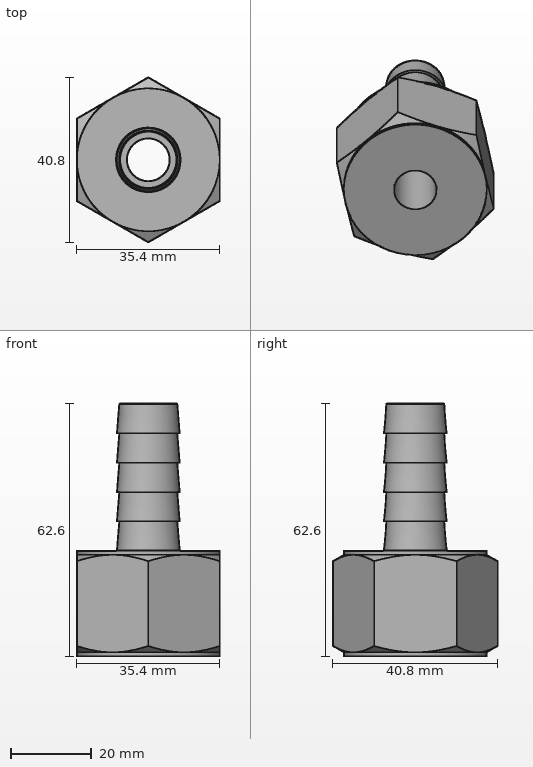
import cadquery as cq
import math

total_height = 62.6
across_flats = 35.35
nut_height = 26.1
bore_diameter = 10.5

collar_height = 1.0
corner_chamfer_height = 1.55

barb_count = 5
barb_pitch = 7.25
barb_root_diameter = 14.4
barb_crest_diameter = 15.6
base_flare_diameter = 16.0
base_flare_height = 0.2
tip_chamfer = 0.25

across_corners = across_flats / math.cos(math.radians(30))
flat_radius = across_flats / 2
corner_radius = across_corners / 2
root_radius = barb_root_diameter / 2
crest_radius = barb_crest_diameter / 2
base_flare_radius = base_flare_diameter / 2


def make_nut():
    """Hexagon with corners on the Y axis, trimmed by a turned envelope."""
    hexagon = (
        cq.Workplane("XY")
        .polygon(6, across_corners)
        .extrude(nut_height)
        .rotate((0, 0, 0), (0, 0, 1), 90)
    )
    chamfer_end = collar_height + corner_chamfer_height
    envelope = (
        cq.Workplane("XZ")
        .polyline([
            (0, 0),
            (flat_radius, 0),
            (flat_radius, collar_height),
            (corner_radius, chamfer_end),
            (corner_radius, nut_height - chamfer_end),
            (flat_radius, nut_height - collar_height),
            (flat_radius, nut_height),
            (0, nut_height),
        ])
        .close()
        .revolve(360, (0, 0, 0), (0, 1, 0))
    )
    return hexagon.intersect(envelope)


def make_hose_tail():
    """Stack of upward-tapering barbs on a small base flare, chamfered at the tip."""
    outline = [
        (0, nut_height),
        (base_flare_radius, nut_height),
        (crest_radius, nut_height + base_flare_height),
    ]
    for index in range(1, barb_count):
        barb_bottom = nut_height + index * barb_pitch
        outline.append((root_radius, barb_bottom))
        outline.append((crest_radius, barb_bottom))
    outline.append((root_radius, total_height))
    outline.append((0, total_height))
    tail = cq.Workplane("XZ").polyline(outline).close().revolve(360, (0, 0, 0), (0, 1, 0))
    return tail.faces(">Z").edges().chamfer(tip_chamfer)


bore = cq.Workplane("XY").circle(bore_diameter / 2).extrude(total_height)

result = make_nut().union(make_hose_tail()).cut(bore)